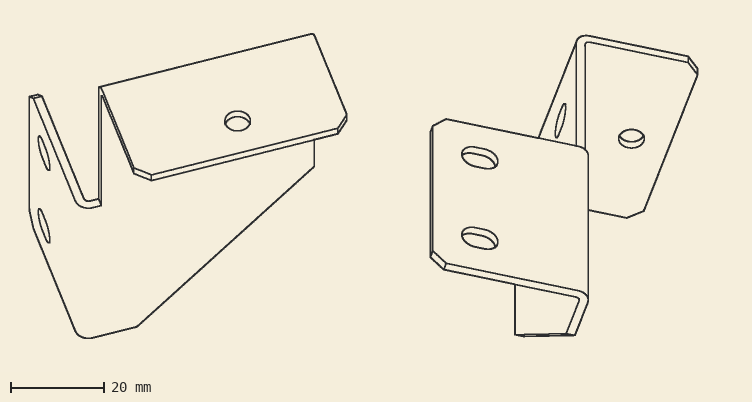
import cadquery as cq

length_x = 61.5
depth_y = 53.0
height_z = 85.5

thickness = 2.0
outer_bend_radius = 3.0
inner_bend_radius = outer_bend_radius - thickness

web_right = 35.5
web_left = web_right - thickness
upper_width = 48.05
upper_front = depth_y - upper_width
web_corner_cut = 40.0

front_flange_height = 45.0
flange_corner_chamfer = 3.0

slot_length = 8.0
slot_width = 6.0
front_slot_x = 10.5
front_slot_heights = (10.0, 35.05)
web_slot_y = 17.4
web_slot_z = 70.8
top_hole_diameter = 5.5
top_hole_x = 53.0
top_hole_y = 30.1


def round_bend(angle, outer_midpoint, inner_midpoint):
    """Round the outside and inside edges of a right-angle bend, given the edge midpoints."""
    outer_edge = cq.selectors.NearestToPointSelector(outer_midpoint)
    inner_edge = cq.selectors.NearestToPointSelector(inner_midpoint)
    angle = angle.edges(outer_edge).fillet(outer_bend_radius)
    return angle.edges(inner_edge).fillet(inner_bend_radius)


def make_front_angle():
    """L-section of the front flange and the lower part of the web."""
    angle = (
        cq.Workplane("XY")
        .polyline([
            (0, 0),
            (web_right, 0),
            (web_right, depth_y),
            (web_left, depth_y),
            (web_left, thickness),
            (0, thickness),
        ])
        .close()
        .extrude(front_flange_height)
    )
    middle_z = front_flange_height / 2
    angle = round_bend(angle, (web_right, 0, middle_z), (web_left, thickness, middle_z))
    return angle.edges("|Y and <X").chamfer(flange_corner_chamfer)


def make_top_angle():
    """L-section of the top flange and the full-height web behind the step."""
    inner_z = height_z - thickness
    angle = (
        cq.Workplane("XZ", origin=(0, depth_y, 0))
        .polyline([
            (web_left, 0),
            (web_left, height_z),
            (length_x, height_z),
            (length_x, inner_z),
            (web_right, inner_z),
            (web_right, 0),
        ])
        .close()
        .extrude(upper_width)
    )
    middle_y = (upper_front + depth_y) / 2
    angle = round_bend(angle, (web_left, middle_y, height_z), (web_right, middle_y, inner_z))
    return angle.edges("|Z and >X").chamfer(flange_corner_chamfer)


def make_web_corner():
    """Triangular prism removed from the lower rear corner of the web."""
    return (
        cq.Workplane("YZ")
        .polyline([
            (depth_y, 0),
            (depth_y, web_corner_cut),
            (depth_y - web_corner_cut, 0),
        ])
        .close()
        .extrude(length_x)
    )


def make_front_slots():
    return (
        cq.Workplane("XZ", origin=(0, thickness, 0))
        .pushPoints([(front_slot_x, z) for z in front_slot_heights])
        .slot2D(slot_length, slot_width)
        .extrude(thickness)
    )


def make_web_slot():
    return (
        cq.Workplane("YZ", origin=(web_left, web_slot_y, web_slot_z))
        .slot2D(slot_length, slot_width)
        .extrude(thickness)
    )


def make_top_hole():
    return (
        cq.Workplane("XY", origin=(top_hole_x, top_hole_y, height_z - thickness))
        .circle(top_hole_diameter / 2)
        .extrude(thickness)
    )


bracket = make_front_angle().union(make_top_angle())
bracket = bracket.cut(make_web_corner())
bracket = bracket.cut(make_front_slots())
bracket = bracket.cut(make_web_slot())
result = bracket.cut(make_top_hole())